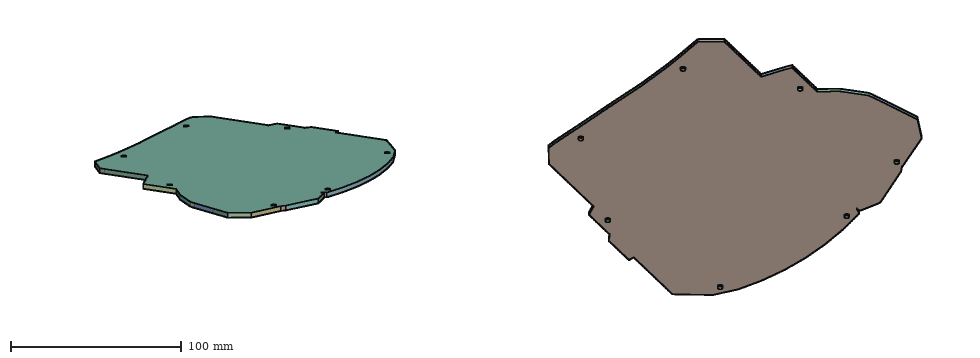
import cadquery as cq

width = 158.15
length = 192.43
thickness = 3.0
hole_diameter = 3.0

bottom_left_y = 49.1
bottom_step_y = 31.3
top_left_y = 183.2
top_step_y = 189.1

arc_start = (148.3, 157.6)
arc_middle = (width, 101.5)
arc_end = (155.0, 69.0)

top_corners = [
    (0.15, 176.1),
    (8.7, top_left_y),
    (48.4, top_left_y),
    (51.1, top_step_y),
    (69.8, top_step_y),
    (72.3, length),
    (90.5, length),
    (90.9, top_step_y),
    (125.4, top_step_y),
    (141.4, 171.6),
    arc_start,
]

lower_right_corners = [
    (151.5, 68.2),
    (154.0, 67.4),
    (157.5, 54.9),
    (149.1, 31.3),
    (147.2, 28.9),
    (139.7, 7.0),
    (127.9, 0.0),
]

bottom_corners = [
    (115.2, 4.1),
    (99.6, 9.2),
    (96.3, 10.5),
    (83.0, 21.2),
    (74.5, bottom_step_y),
    (52.1, bottom_step_y),
    (50.3, 35.3),
    (44.9, bottom_left_y),
    (15.2, bottom_left_y),
    (12.0, 49.2),
    (2.3, 60.3),
    (1.9, 61.0),
]

left_side_corners = [
    (2.6, 71.5),
    (3.1, 79.4),
    (3.35, 86.0),
    (3.35, 105.1),
    (3.1, 111.0),
    (2.6, 118.9),
    (2.05, 129.4),
    (1.75, 136.0),
    (1.05, 152.5),
    (0.75, 157.7),
    (0.0, 170.9),
]

hole_centers = [
    (61.2, 183.3),
    (140.0, 164.7),
    (7.6, 157.3),
    (10.5, 80.0),
    (151.6, 76.0),
    (66.4, 37.5),
    (142.4, 28.8),
]


def plate():
    outline = cq.Workplane("XY").polyline(top_corners)
    outline = outline.threePointArc(arc_middle, arc_end)
    for corner in lower_right_corners + bottom_corners + left_side_corners:
        outline = outline.lineTo(*corner)
    return outline.close().extrude(thickness)


def screw_holes():
    return cq.Workplane("XY").pushPoints(hole_centers).circle(hole_diameter / 2).extrude(thickness)


result = plate().cut(screw_holes())